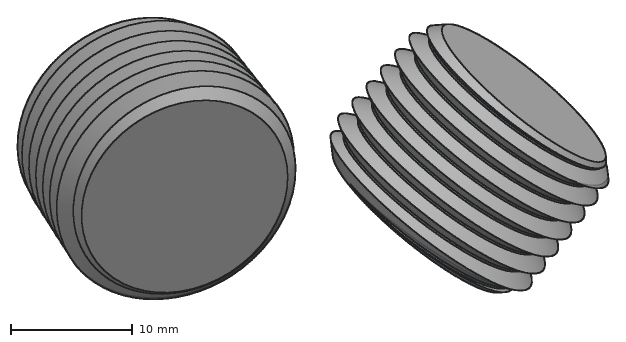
import cadquery as cq
import math

length = 13.96
pitch = 1.814
taper_slope = 1 / 32
crest_radius = 10.225
root_radius = 8.82
flank_half_angle = 30
narrow_face_radius = 8.65
wide_face_radius = 9.05
chamfer_length = 2.97
root_overlap = 0.08
lead_in_turns = 2
lead_out_turns = 2

taper_angle = math.degrees(math.atan(taper_slope))
thread_turns = lead_in_turns + math.ceil(length / pitch) + lead_out_turns
thread_start = -lead_in_turns * pitch
ridge_foot_radius = root_radius - root_overlap
ridge_half_width = (crest_radius - ridge_foot_radius) * math.tan(math.radians(flank_half_angle))


def revolve_about_x(points):
    """Solid of revolution from an (X, radius) outline."""
    return cq.Workplane("XY").polyline(points).close().revolve(360, (0, 0, 0), (1, 0, 0))


def tapered_helix(radius_at_zero, axial_shift):
    """Conical helix along Z, following one edge of the thread ridge."""
    start = thread_start + axial_shift
    start_radius = radius_at_zero + start * taper_slope
    helix = cq.Wire.makeHelix(pitch, thread_turns * pitch, start_radius, angle=taper_angle)
    return helix.translate(cq.Vector(0, 0, start))


def thread_ridge():
    """V-shaped helical ridge, turned so that its axis is X and it starts at -Z."""
    edges = [
        tapered_helix(ridge_foot_radius, -ridge_half_width),
        tapered_helix(crest_radius, 0),
        tapered_helix(ridge_foot_radius, ridge_half_width),
    ]
    sides = [cq.Face.makeRuledSurface(edges[i], edges[(i + 1) % 3]) for i in range(3)]
    caps = []
    for corners in ([edge.startPoint() for edge in edges], [edge.endPoint() for edge in edges]):
        caps.append(cq.Face.makeFromWires(cq.Wire.makePolygon(corners, close=True)))
    shell = cq.Shell.makeShell(sides + caps)
    solid = cq.Solid.makeSolid(shell)
    return cq.Workplane(obj=solid).rotate((0, 0, 0), (0, 1, 0), 90)


def root_core():
    """Tapered core at the thread root."""
    return revolve_about_x([
        (0, 0),
        (0, root_radius),
        (length, root_radius + length * taper_slope),
        (length, 0),
    ])


def chamfered_envelope():
    """Plug length with a 45 degree chamfer at both ends, clear of the crests between."""
    return revolve_about_x([
        (0, 0),
        (0, narrow_face_radius),
        (chamfer_length, narrow_face_radius + chamfer_length),
        (length - chamfer_length, wide_face_radius + chamfer_length),
        (length, wide_face_radius),
        (length, 0),
    ])


envelope = chamfered_envelope()
core = root_core().intersect(envelope)
ridge = thread_ridge().intersect(envelope)
result = core.union(ridge)